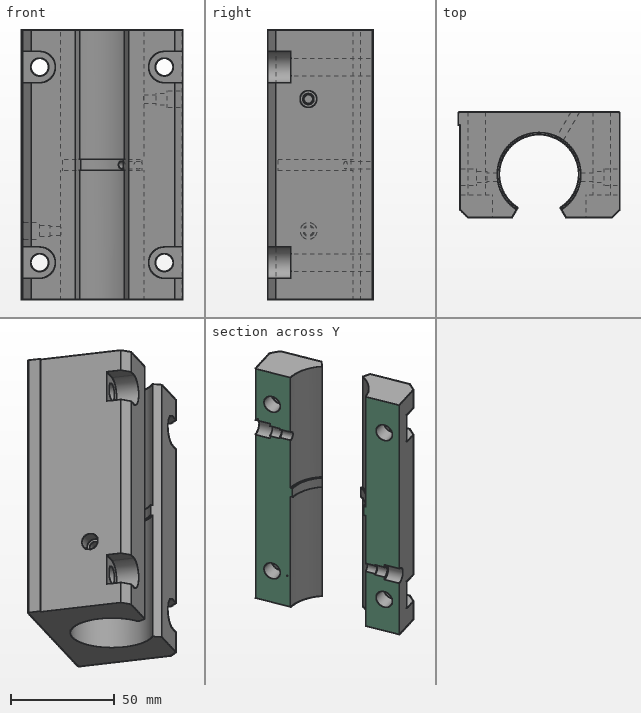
import cadquery as cq
import math

width = 78.0
depth = 51.0
length = 130.0
front_y = -20.9
back_y = front_y + depth
left_x = -width / 2
right_x = width / 2
front_chamfer = 3.9
back_chamfer = 0.5

edge_step = 0.9
edge_depth = 6.4

bore_radius = 20.2
rib_radius = 19.1
rib_length = 5.2
opening_half_width = 13.0
opening_flare = 30.0

hole_spacing_x = 60.0
hole_spacing_z = 94.2
hole_diameter = 8.5
recess_radius = 7.5
recess_depth = 11.2

screw_y = -1.3
screw_z = 31.7
screw_mouth_diameter = 8.0
screw_mouth_depth = 7.8
screw_diameter = 5.3
screw_neck_diameter = 4.3
screw_neck_depth = 13.0

oil_angle = 30.0
oil_diameter = 3.6


def block():
    """Full-height prism with the locating edge and chamfered corners."""
    body_left = left_x + edge_step
    edge_front = back_y - edge_depth
    outline = [
        (body_left + front_chamfer, front_y),
        (right_x - front_chamfer, front_y),
        (right_x, front_y + front_chamfer),
        (right_x, back_y - back_chamfer),
        (right_x - back_chamfer, back_y),
        (left_x + back_chamfer, back_y),
        (left_x, back_y - back_chamfer),
        (left_x, edge_front),
        (body_left, edge_front),
        (body_left, front_y + front_chamfer),
    ]
    return cq.Workplane("XY").polyline(outline).close().extrude(length / 2, both=True)


def cylinder_z(radius, height):
    return cq.Workplane("XY").circle(radius).extrude(height / 2, both=True)


def bore():
    """Bore with a ring left standing at mid-length to form the rib."""
    ring = cylinder_z(bore_radius, rib_length).cut(cylinder_z(rib_radius, rib_length))
    return cylinder_z(bore_radius, length).cut(ring)


def opening():
    """Slot that narrows from the front face to the bore."""
    inner_half_width = opening_half_width + front_y * math.tan(math.radians(opening_flare))
    outline = [
        (-opening_half_width, front_y),
        (opening_half_width, front_y),
        (inner_half_width, 0),
        (-inner_half_width, 0),
    ]
    return cq.Workplane("XY").polyline(outline).close().extrude(length / 2, both=True)


def mounting_hole(side, z):
    """Through hole along Y with a round-ended recess open to its side."""
    x = side * hole_spacing_x / 2
    run_out = width / 2
    front = cq.Workplane("XZ", origin=(x, front_y, z))
    hole = front.circle(hole_diameter / 2).extrude(-depth)
    round_end = front.circle(recess_radius).extrude(-recess_depth)
    channel = (
        front.center(side * run_out / 2, 0)
        .rect(run_out, 2 * recess_radius)
        .extrude(-recess_depth)
    )
    return hole.union(round_end).union(channel)


def screw_hole(side):
    """Stepped hole from one outer side into the bore."""
    outer_x = right_x if side > 0 else left_x + edge_step
    face = cq.Workplane("YZ", origin=(outer_x, screw_y, side * screw_z))
    mouth = face.circle(screw_mouth_diameter / 2).extrude(-side * screw_mouth_depth)
    middle = face.circle(screw_diameter / 2).extrude(-side * screw_neck_depth)
    neck = face.circle(screw_neck_diameter / 2).extrude(-outer_x)
    return mouth.union(middle).union(neck)


def oil_hole():
    """Radial hole at mid-length, running from the bore out through the back."""
    reach = (back_y + oil_diameter) / math.cos(math.radians(oil_angle))
    return (
        cq.Workplane("XZ")
        .circle(oil_diameter / 2)
        .extrude(-reach)
        .rotate((0, 0, 0), (0, 0, 1), -oil_angle)
    )


result = block().cut(bore()).cut(opening())
for side in (-1, 1):
    result = result.cut(screw_hole(side))
    for z in (-hole_spacing_z / 2, hole_spacing_z / 2):
        result = result.cut(mounting_hole(side, z))
result = result.cut(oil_hole())